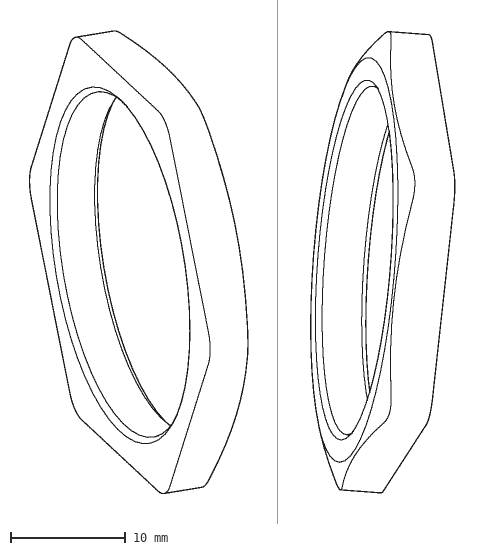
import cadquery as cq
import math

width_across_corners = 40.65
thickness = 4.5
corner_radius = 3.05
bore_diameter = 30.5
bore_chamfer = 0.5
crown_diameter = 35.35
crown_drop = 0.95

corner_loss = corner_radius * (1 / math.cos(math.radians(30)) - 1)
sharp_diameter = width_across_corners + 2 * corner_loss


def hexagon_body():
    """Rounded hexagonal plate from Y = 0 to Y = thickness."""
    plate = cq.Workplane("XZ").polygon(6, sharp_diameter).extrude(-thickness)
    return plate.edges("|Y").fillet(corner_radius)


def crown_envelope():
    """Turned blank whose cone bevels the corners of the +Y face."""
    outer_radius = width_across_corners / 2
    crown_radius = crown_diameter / 2
    slope = crown_drop / (outer_radius - crown_radius)
    blank_radius = sharp_diameter / 2
    rim_height = thickness - slope * (blank_radius - crown_radius)
    profile = [
        (0, 0),
        (blank_radius, 0),
        (blank_radius, rim_height),
        (crown_radius, thickness),
        (0, thickness),
    ]
    return cq.Workplane("XY").polyline(profile).close().revolve(360, (0, 0, 0), (0, 1, 0))


def bore_cutter():
    """Through bore with a 45 degree chamfer at each mouth."""
    bore_radius = bore_diameter / 2
    mouth_radius = bore_radius + bore_chamfer
    profile = [
        (0, 0),
        (mouth_radius, 0),
        (bore_radius, bore_chamfer),
        (bore_radius, thickness - bore_chamfer),
        (mouth_radius, thickness),
        (0, thickness),
    ]
    return cq.Workplane("XY").polyline(profile).close().revolve(360, (0, 0, 0), (0, 1, 0))


result = hexagon_body().intersect(crown_envelope()).cut(bore_cutter())